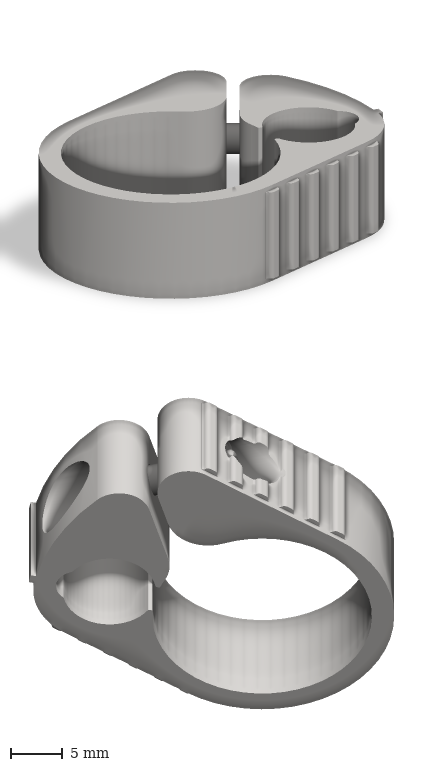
import cadquery as cq
import math


height = 10.0
half_width = 12.75
bore_radius = 10.6
crown_radius = 22.2
crown_center_y = 0.3
corner_radius = 7.0
lobe_radius = 3.0

screw_angle = 40.0
near_face = 5.45
slot_width = 1.25
far_face = near_face + slot_width
nose_radius = 4.0

branch_angle = 68.0
small_bore_radius = 4.5
small_bore_distance = bore_radius + small_bore_radius
relief_radius = 2.0
relief_offset = 3.25
relief_edge_radius = 0.4
gap_width = 3.2
prong_edge_radius = 0.12
tab_width = 0.95
tab_height = 0.5
tab_root = 1.0

rib_count = 6
rib_pitch = 3.0
rib_width = 1.5
rib_height = 0.5
rib_base_radius = 0.25
rib_end_margin = 0.5
rib_root = 0.2

screw_offset = 15.87
screw_radius = 1.5
screw_length = 10.0
screw_tip = -1.75
screw_tip_radius = 1.23
screw_tip_chamfer = screw_radius - screw_tip_radius
head_radius = 2.75
head_height = 3.0
head_seat = screw_tip + screw_length
clearance_radius = 1.55
head_bore_radius = 3.1
tip_pocket_radius = 2.45
tip_pocket_floor = -1.05
tip_pocket_chamfer = 0.2
bore_overrun = 15.0


def polar(radius, angle, center=(0.0, 0.0)):
    """Point at a radius and an angle in degrees around a center."""
    turn = math.radians(angle)
    return (center[0] + radius * math.cos(turn), center[1] + radius * math.sin(turn))


def direction_angle(start, end):
    """Angle in degrees of the direction from one point to another."""
    return math.degrees(math.atan2(end[1] - start[1], end[0] - start[0]))


def slot_point(along, across):
    """Point at a distance along the screw direction and a distance to its left."""
    return polar(across, screw_angle + 90, polar(along, screw_angle))


def slot_corner(face):
    """Where a slot face meets the large bore."""
    return slot_point(face, math.sqrt(bore_radius**2 - face**2))


def round_upright_edge(body, point, radius):
    """Fillet the full-height edge that stands at a point."""
    reach = 0.05
    box = cq.selectors.BoxSelector(
        (point[0] - reach, point[1] - reach, 0),
        (point[0] + reach, point[1] + reach, height),
    )
    return body.edges("|Z").edges(box).fillet(radius)


crown_center = (0.0, crown_center_y)
corner_x = half_width - corner_radius
corner_center = (
    corner_x,
    crown_center_y + math.sqrt((crown_radius - corner_radius) ** 2 - corner_x**2),
)

far_along = far_face + lobe_radius
crown_along = crown_center_y * math.sin(math.radians(screw_angle))
crown_across = crown_center_y * math.cos(math.radians(screw_angle))
far_lobe_across = crown_across + math.sqrt(
    (crown_radius - lobe_radius) ** 2 - (far_along - crown_along) ** 2
)
far_lobe_center = slot_point(far_along, far_lobe_across)

near_lobe_x = lobe_radius - half_width
near_lobe_y = (
    near_face - lobe_radius - near_lobe_x * math.cos(math.radians(screw_angle))
) / math.sin(math.radians(screw_angle))
near_lobe_center = (near_lobe_x, near_lobe_y)


def make_blank():
    """Clip outline with its open slot, pierced by the large bore, with round slot noses."""
    corner_end = direction_angle(crown_center, corner_center)
    crown_end = direction_angle(crown_center, far_lobe_center)
    far_lobe_end = screw_angle + 180
    outline = (
        cq.Workplane("XY")
        .moveTo(-half_width, 0)
        .threePointArc((0, -half_width), (half_width, 0))
        .lineTo(half_width, corner_center[1])
        .threePointArc(
            polar(corner_radius, corner_end / 2, corner_center),
            polar(corner_radius, corner_end, corner_center),
        )
        .threePointArc(
            polar(crown_radius, (corner_end + crown_end) / 2, crown_center),
            polar(crown_radius, crown_end, crown_center),
        )
        .threePointArc(
            polar(lobe_radius, (crown_end + far_lobe_end) / 2, far_lobe_center),
            polar(lobe_radius, far_lobe_end, far_lobe_center),
        )
        .lineTo(*slot_corner(far_face))
        .lineTo(*slot_corner(near_face))
        .lineTo(*polar(lobe_radius, screw_angle, near_lobe_center))
        .threePointArc(
            polar(lobe_radius, (screw_angle + 180) / 2, near_lobe_center),
            (-half_width, near_lobe_y),
        )
        .close()
    )
    blank = outline.extrude(height)
    blank = blank.cut(cq.Workplane("XY").circle(bore_radius).extrude(height))
    blank = round_upright_edge(blank, slot_corner(near_face), nose_radius)
    return round_upright_edge(blank, slot_corner(far_face), nose_radius)


def on_branch(along, across):
    """Point at a distance along the branch ray and a distance to its left."""
    return polar(across, branch_angle + 90, polar(along, branch_angle))


def cut_small_bore(body):
    """Small bore with its relief groove, opened into the large bore by a gap with round prongs."""
    center = polar(small_bore_distance, branch_angle)
    relief_center = polar(small_bore_distance + relief_offset, branch_angle)
    body = body.cut(cq.Workplane("XY").center(*center).circle(small_bore_radius).extrude(height))
    body = body.cut(cq.Workplane("XY").center(*relief_center).circle(relief_radius).extrude(height))

    meet_along = (small_bore_radius**2 - relief_radius**2 + relief_offset**2) / (2 * relief_offset)
    meet_across = math.sqrt(small_bore_radius**2 - meet_along**2)
    for side in (-1, 1):
        edge = on_branch(small_bore_distance + meet_along, side * meet_across)
        body = round_upright_edge(body, edge, relief_edge_radius)

    half_gap = gap_width / 2
    gap = (
        cq.Workplane("XY")
        .transformed(rotate=(0, 0, branch_angle))
        .center(small_bore_distance / 2, 0)
        .rect(small_bore_distance, gap_width)
        .extrude(height)
    )
    body = body.cut(gap)
    inner_along = math.sqrt(bore_radius**2 - half_gap**2)
    outer_along = small_bore_distance - math.sqrt(small_bore_radius**2 - half_gap**2)
    for side in (-1, 1):
        for along in (inner_along, outer_along):
            body = round_upright_edge(body, on_branch(along, side * half_gap), prong_edge_radius)
    return body


def make_tab():
    """Locating tab on the outside, over the relief groove."""
    tip = math.hypot(*corner_center) + corner_radius + tab_height
    length = tab_height + tab_root
    return (
        cq.Workplane("XY")
        .transformed(rotate=(0, 0, branch_angle))
        .center(tip - length / 2, 0)
        .rect(length, tab_width)
        .extrude(height)
    )


def make_rib(side, y):
    """Round-shouldered grip rib with concave fillets at its base; side is -1 or 1."""
    shoulder = rib_width / 2 - rib_height
    reach = rib_height + rib_base_radius
    base = shoulder + math.sqrt(reach**2 - rib_base_radius**2)
    meet_angle = math.degrees(math.asin(rib_base_radius / reach))
    base_angle = (180 + meet_angle + 270) / 2

    def place(point, mirror):
        return (side * (half_width + point[1]), y + mirror * point[0])

    shoulder_center = (shoulder, 0)
    base_center = (base, rib_base_radius)
    meet = polar(rib_height, meet_angle, shoulder_center)
    shoulder_mid = polar(rib_height, (meet_angle + 90) / 2, shoulder_center)
    base_mid = polar(rib_base_radius, base_angle, base_center)
    crest = (shoulder, rib_height)
    return (
        cq.Workplane("XY", origin=(0, 0, rib_end_margin))
        .moveTo(*place((base, -rib_root), -1))
        .lineTo(*place((base, 0), -1))
        .threePointArc(place(base_mid, -1), place(meet, -1))
        .threePointArc(place(shoulder_mid, -1), place(crest, -1))
        .lineTo(*place(crest, 1))
        .threePointArc(place(shoulder_mid, 1), place(meet, 1))
        .threePointArc(place(base_mid, 1), place((base, 0), 1))
        .lineTo(*place((base, -rib_root), 1))
        .close()
        .extrude(height - 2 * rib_end_margin)
    )


screw_axis = cq.Vector(*polar(1, screw_angle), 0)


def screw_cylinder(radius, start, end):
    """Cylinder on the screw axis between two stations."""
    base = slot_point(start, screw_offset)
    plane = cq.Plane(origin=(*base, height / 2), xDir=(0, 0, 1), normal=screw_axis)
    return cq.Workplane(plane).circle(radius).extrude(end - start)


def cut_screw_bores(body):
    """Tip pocket and threaded hole in the near lobe, clearance hole and head bore in the far one."""
    tip_pocket = screw_cylinder(tip_pocket_radius, -bore_overrun, tip_pocket_floor)
    tip_pocket = tip_pocket.faces(cq.selectors.DirectionMinMaxSelector(screw_axis, True))
    tip_pocket = tip_pocket.chamfer(tip_pocket_chamfer)
    threaded_hole = screw_cylinder(screw_radius, screw_tip, near_face)
    clearance_hole = screw_cylinder(clearance_radius, near_face, head_seat)
    head_bore = screw_cylinder(head_bore_radius, head_seat, head_seat + bore_overrun)
    for bore in (tip_pocket, threaded_hole, clearance_hole, head_bore):
        body = body.cut(bore)
    return body


def make_clip():
    """One-piece clip with its tab, ribs and screw bores."""
    body = cut_small_bore(make_blank())
    body = body.union(make_tab())
    for side in (-1, 1):
        for index in range(rib_count):
            body = body.union(make_rib(side, index * rib_pitch))
    return cut_screw_bores(body)


def make_screw():
    """Plain cap screw with a chamfered tip."""
    shank = screw_cylinder(screw_radius, screw_tip, head_seat)
    shank = shank.faces(cq.selectors.DirectionMinMaxSelector(screw_axis, False))
    shank = shank.chamfer(screw_tip_chamfer)
    return shank.union(screw_cylinder(head_radius, head_seat, head_seat + head_height))


clip = make_clip()
screw = make_screw()

result = cq.Compound.makeCompound([clip.solids().val(), screw.solids().val()])